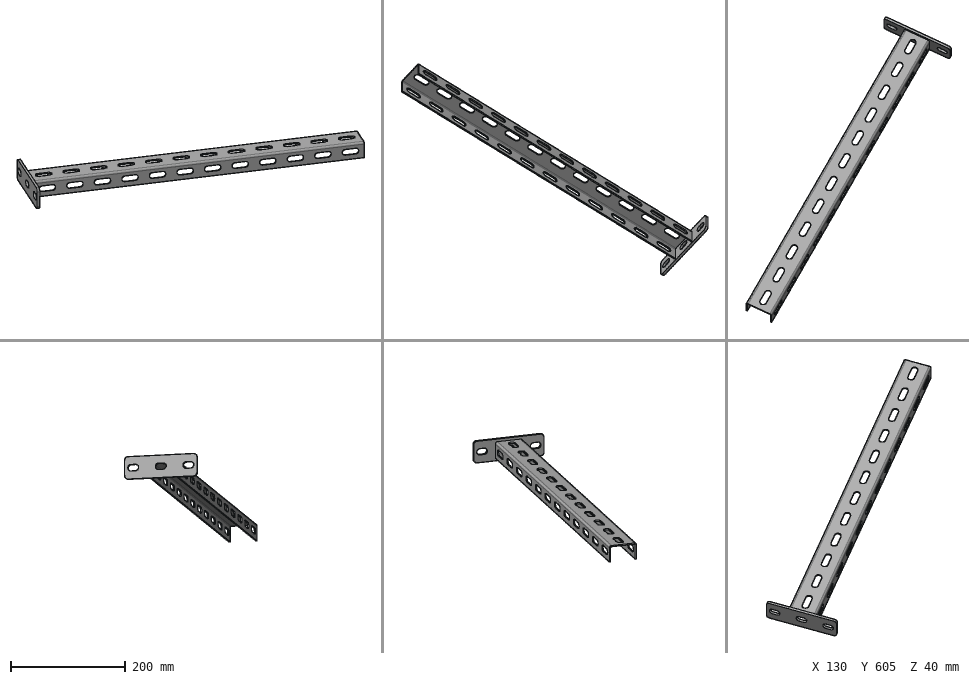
import cadquery as cq

total_length = 605.0

plate_width = 130.0
plate_height = 40.0
plate_thickness = 5.0
plate_corner_radius = 6.0
plate_slot_length = 19.5
plate_slot_width = 11.5
plate_slot_pitch = 49.5
plate_slot_count = 3

rail_length = total_length - plate_thickness
rail_width = 50.0
rail_height = 30.0
sheet_thickness = 2.5
bend_outer_radius = 3.8
bend_inner_radius = bend_outer_radius - sheet_thickness

rail_slot_count = 12
rail_slot_pitch = rail_length / rail_slot_count
rail_slot_length = 29.5
top_slot_width = 11.5
side_slot_width = 11.0
side_slot_drop = 0.5

rail_start = plate_thickness
rail_middle = rail_start + rail_length / 2


def make_plate():
    """Rounded end plate with a row of horizontal slots through it."""
    plate = (
        cq.Workplane("XY")
        .box(plate_width, plate_thickness, plate_height)
        .edges("|Y")
        .fillet(plate_corner_radius)
        .translate((0, plate_thickness / 2, 0))
    )
    slots = (
        cq.Workplane("XZ")
        .rarray(plate_slot_pitch, 6, plate_slot_count, 1)
        .slot2D(plate_slot_length, plate_slot_width)
        .extrude(-plate_thickness)
    )
    return plate.cut(slots)


def make_channel():
    """Plain channel: a rounded outer bar with its rounded inside removed."""
    outer = (
        cq.Workplane("XY")
        .box(rail_width, rail_length, rail_height)
        .edges("|Y and >Z")
        .fillet(bend_outer_radius)
    )
    inner = (
        cq.Workplane("XY")
        .box(rail_width - 2 * sheet_thickness, rail_length, rail_height)
        .edges("|Y and >Z")
        .fillet(bend_inner_radius)
        .translate((0, 0, -sheet_thickness))
    )
    return outer.cut(inner).translate((0, rail_middle, 0))


def make_top_slots():
    """Cutters for the row of slots through the web."""
    return (
        cq.Workplane("XY", origin=(0, rail_middle, 0))
        .rarray(6, rail_slot_pitch, 1, rail_slot_count)
        .slot2D(rail_slot_length, top_slot_width, 90)
        .extrude(rail_height)
    )


def make_side_slots():
    """Cutters for the row of slots through both flanges."""
    return (
        cq.Workplane("YZ", origin=(0, rail_middle, -side_slot_drop))
        .rarray(rail_slot_pitch, 6, rail_slot_count, 1)
        .slot2D(rail_slot_length, side_slot_width)
        .extrude(rail_width, both=True)
    )


def make_rail():
    """Channel with slots in its web and both flanges."""
    return make_channel().cut(make_top_slots()).cut(make_side_slots())


plate = make_plate()
rail = make_rail()

result = cq.Compound.makeCompound([plate.val(), rail.val()])